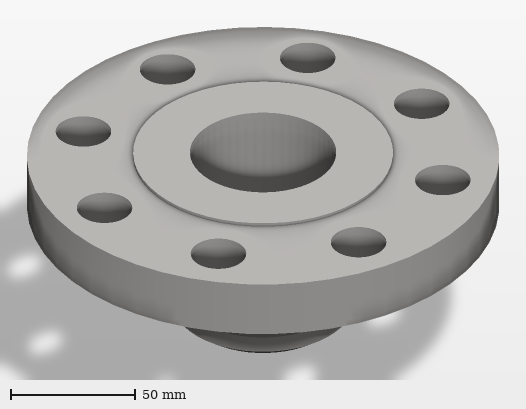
import cadquery as cq
import math

overall_height = 76.2
flange_diameter = 190.5
flange_thickness = 23.8
face_diameter = 104.8
face_height = 1.6

bore_diameter = 59.0
bolt_count = 8
bolt_circle_diameter = 149.2
bolt_hole_diameter = 22.4

hub_base_diameter = 100.0
hub_fillet_radius = 8.0
neck_diameter = 73.0
neck_top = 11.0
root_land = 1.6
bevel_angle = 37.5

flange_radius = flange_diameter / 2
face_radius = face_diameter / 2
bore_radius = bore_diameter / 2
neck_radius = neck_diameter / 2
hub_base_radius = hub_base_diameter / 2
flange_top = overall_height - face_height
flange_bottom = flange_top - flange_thickness
root_radius = bore_radius + root_land
bevel_height = (neck_radius - root_radius) * math.tan(math.radians(bevel_angle))

hub_slope = math.atan2(hub_base_radius - neck_radius, flange_bottom - neck_top)
tangent_length = hub_fillet_radius * math.tan((math.pi / 2 - hub_slope) / 2)
fillet_outer_radius = hub_base_radius + tangent_length
fillet_start_radius = hub_base_radius - tangent_length * math.sin(hub_slope)
fillet_start_height = flange_bottom - tangent_length * math.cos(hub_slope)
fillet_center_height = flange_bottom - hub_fillet_radius
fillet_mid_angle = (math.pi / 2 + math.pi - hub_slope) / 2
fillet_middle = (
    fillet_outer_radius + hub_fillet_radius * math.cos(fillet_mid_angle),
    fillet_center_height + hub_fillet_radius * math.sin(fillet_mid_angle),
)


def make_body():
    """Revolve the bored half section about the Z axis."""
    return (
        cq.Workplane("XZ")
        .moveTo(bore_radius, 0)
        .lineTo(root_radius, 0)
        .lineTo(neck_radius, bevel_height)
        .lineTo(neck_radius, neck_top)
        .lineTo(fillet_start_radius, fillet_start_height)
        .threePointArc(fillet_middle, (fillet_outer_radius, flange_bottom))
        .lineTo(flange_radius, flange_bottom)
        .lineTo(flange_radius, flange_top)
        .lineTo(face_radius, flange_top)
        .lineTo(face_radius, overall_height)
        .lineTo(bore_radius, overall_height)
        .close()
        .revolve(360, (0, 0, 0), (0, 1, 0))
    )


def make_bolt_holes():
    """Cylinders for the bolt holes, evenly spaced from the X axis."""
    return (
        cq.Workplane("XY")
        .workplane(offset=flange_bottom)
        .polarArray(bolt_circle_diameter / 2, 0, 360, bolt_count)
        .circle(bolt_hole_diameter / 2)
        .extrude(flange_thickness)
    )


result = make_body().cut(make_bolt_holes())